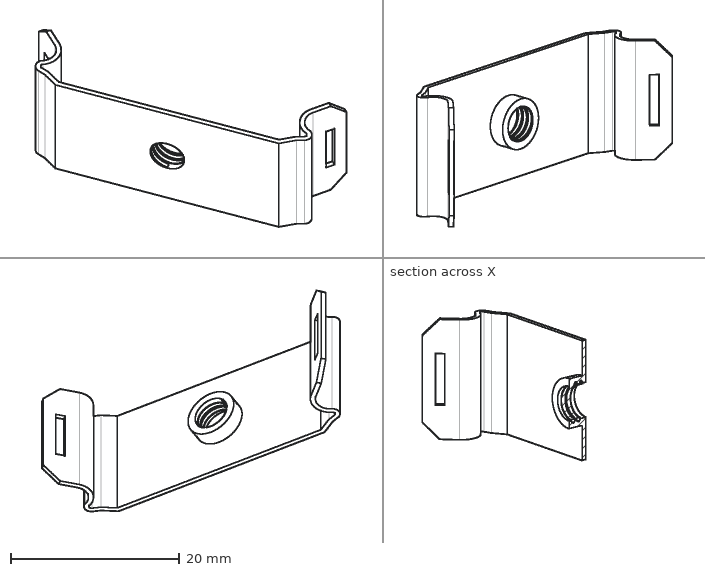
import cadquery as cq
import math

overall_length = 38.84
overall_depth = 9.55
width = 14.92
sheet = 0.6

flank_angle = 33.0
flank_length = 2.1
shoulder_angle = 20.0
shoulder_length = 1.0
hairpin_inner_radius = 0.3
neck_angle = 157.0
neck_inner_radius = 1.74
arm_angle = 45.0

corner_cut = 2.07
slot_from_tip = 1.57
slot_length = 1.12
slot_width = 6.4

boss_diameter = 6.26
boss_top = 2.6
bore_diameter = 4.3
thread_pitch = 0.8
thread_depth = 0.35
thread_root_flat = 0.1
thread_lead_in = 0.05
thread_mouth = 0.6


def move(point, heading, distance):
    """Step a distance from a point along a heading in degrees."""
    angle = math.radians(heading)
    return point[0] + distance * math.cos(angle), point[1] + distance * math.sin(angle)


def across(point, heading):
    """Point on the inner sheet face, square across from one on the outer face."""
    return move(point, heading + 90, sheet)


def mitre(corner, heading_in, heading_out):
    """Inner-face point of a sharp fold whose outer-face corner is given."""
    half_turn = (heading_out - heading_in) / 2
    distance = sheet / math.cos(math.radians(half_turn))
    return move(corner, heading_in + half_turn + 90, distance)


flank_start = (0, 0)
flank_end = move(flank_start, flank_angle, flank_length)
shoulder_end = move(flank_end, shoulder_angle, shoulder_length)

hairpin_outer_radius = hairpin_inner_radius + sheet
hairpin_center = move(shoulder_end, shoulder_angle + 90, hairpin_outer_radius)
hairpin_mid_angle = (shoulder_angle + neck_angle) / 2 - 90

neck_start = move(hairpin_center, neck_angle - 90, hairpin_outer_radius)
neck_outer_radius = neck_inner_radius + sheet
neck_center = move(neck_start, neck_angle - 90, neck_inner_radius)
neck_mid_angle = (neck_angle + arm_angle) / 2 + 90
arm_start = move(neck_center, arm_angle + 90, neck_inner_radius)

tip_inner_rise = overall_depth - across(arm_start, arm_angle)[1]
arm_length = tip_inner_rise / math.sin(math.radians(arm_angle))
arm_tip = move(arm_start, arm_angle, arm_length)
base_half_length = overall_length / 2 - arm_tip[0]


def half_strip():
    """Folded sheet on the +X side of the mid-plane, with X = 0 at the base fold."""
    hairpin_mid_outer = move(hairpin_center, hairpin_mid_angle, hairpin_outer_radius)
    hairpin_mid_inner = move(hairpin_center, hairpin_mid_angle, hairpin_inner_radius)
    neck_mid_outer = move(neck_center, neck_mid_angle, neck_inner_radius)
    neck_mid_inner = move(neck_center, neck_mid_angle, neck_outer_radius)
    return (
        cq.Workplane("XY", origin=(0, 0, -width / 2))
        .moveTo(-base_half_length, 0)
        .lineTo(*flank_start)
        .lineTo(*flank_end)
        .lineTo(*shoulder_end)
        .threePointArc(hairpin_mid_outer, neck_start)
        .threePointArc(neck_mid_outer, arm_start)
        .lineTo(*arm_tip)
        .lineTo(*across(arm_tip, arm_angle))
        .lineTo(*across(arm_start, arm_angle))
        .threePointArc(neck_mid_inner, across(neck_start, neck_angle))
        .threePointArc(hairpin_mid_inner, across(shoulder_end, shoulder_angle))
        .lineTo(*mitre(flank_end, flank_angle, shoulder_angle))
        .lineTo(*mitre(flank_start, 0, flank_angle))
        .lineTo(-base_half_length, sheet)
        .close()
        .extrude(width)
    )


def arm_cutters():
    """Tip corner cuts and the slot, all square to the arm."""
    arm_x, arm_y = move((0, 0), arm_angle, 1)
    tip_plane = cq.Plane(
        origin=(arm_tip[0], arm_tip[1], 0),
        xDir=(-arm_x, -arm_y, 0),
        normal=(-arm_y, arm_x, 0),
    )
    cut_reach = 2 * sheet
    slot_center = slot_from_tip + slot_length / 2
    cutters = (
        cq.Workplane(tip_plane)
        .center(slot_center, 0)
        .rect(slot_length, slot_width)
        .extrude(cut_reach, both=True)
    )
    for side in (1, -1):
        edge = side * width / 2
        corner = (
            cq.Workplane(tip_plane)
            .moveTo(0, edge)
            .lineTo(corner_cut, edge)
            .lineTo(0, edge - side * corner_cut)
            .close()
            .extrude(cut_reach, both=True)
        )
        cutters = cutters.union(corner)
    return cutters


def thread_groove():
    """Helical groove of the internal thread, stopping just short of both ends of the bore."""
    bore_radius = bore_diameter / 2
    overlap = 0.1
    groove_start_angle = 90
    start = thread_mouth / 2 + thread_lead_in
    helix = cq.Wire.makeHelix(thread_pitch, boss_top - 2 * start, bore_radius)
    groove = (
        cq.Workplane("XZ")
        .moveTo(bore_radius - overlap, -thread_mouth / 2)
        .lineTo(bore_radius, -thread_mouth / 2)
        .lineTo(bore_radius + thread_depth, -thread_root_flat / 2)
        .lineTo(bore_radius + thread_depth, thread_root_flat / 2)
        .lineTo(bore_radius, thread_mouth / 2)
        .lineTo(bore_radius - overlap, thread_mouth / 2)
        .close()
        .sweep(cq.Workplane(helix), isFrenet=True)
    )
    groove = groove.rotate((0, 0, 0), (0, 0, 1), groove_start_angle)
    return groove.rotate((0, 0, 0), (1, 0, 0), -90).translate((0, start, 0))


half = half_strip().cut(arm_cutters()).translate((base_half_length, 0, 0))
strip = half.union(half.mirror("YZ"))

base_plane = cq.Workplane("XZ")
boss = base_plane.circle(boss_diameter / 2).extrude(-boss_top)
bore = base_plane.circle(bore_diameter / 2).extrude(-boss_top)
threaded_bore = bore.union(thread_groove())

result = strip.union(boss).cut(threaded_bore)